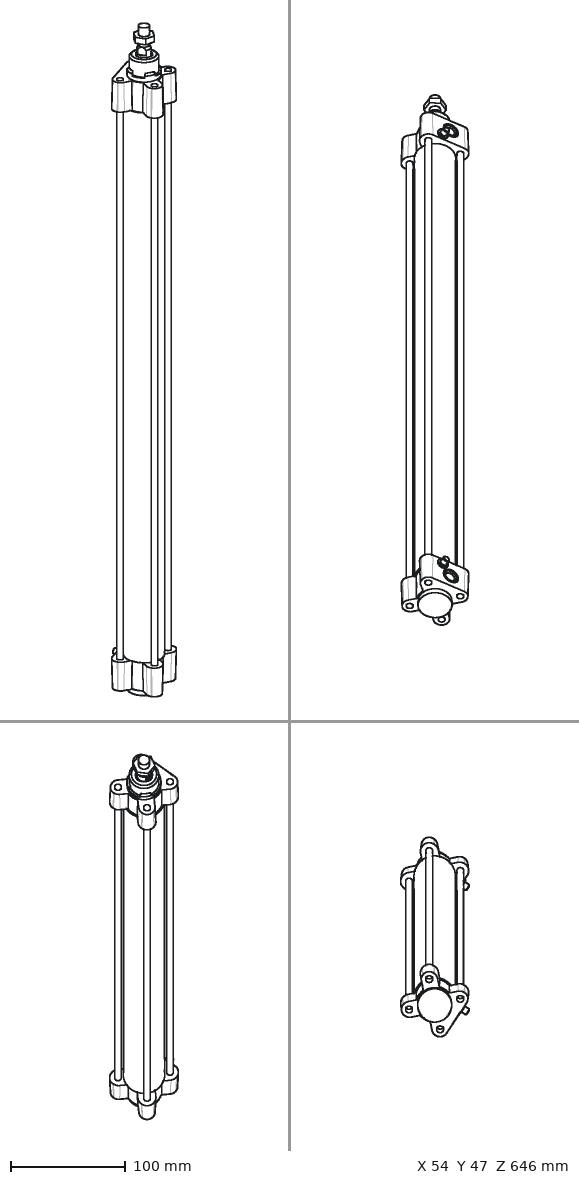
import cadquery as cq
import math

total_height = 646.0
total_width_x = 54.0

cap_height = 28.5
cap_draft = 1.5
lobe_offset = 16.0
lobe_diameter = 15.0
lobe_flat = 0.5
cap_barrel_radius = 17.0
front_cap_inner_z = 570.0
spigot_diameter = 30.0
rear_spigot_height = 5.0

mount_hole_diameter = 6.0
mount_hole_depth = 16.0

port_diameter = 9.0
port_depth = 10.0
port_spotface_diameter = 15.0
port_spotface_depth = 0.5
port_chamfer = 1.0
port_y = -2.5
port_height = 16.0

screw_y = 6.15
screw_height = 6.0
screw_boss_diameter = 10.0
screw_boss_end = 25.0
screw_diameter = 6.0
screw_chamfer = 0.5

tube_diameter = 36.0
tie_rod_diameter = 6.0

guide_ring_height = 8.0
guide_ring_chamfer = 2.0
guide_notch_width = 11.5
guide_notch_height = 4.0
guide_diameter = 26.0
guide_top_z = 618.0
guide_chamfer = 2.0
wiper_recess_diameter = 15.0
wiper_recess_depth = 2.0

rod_diameter = 12.0
rod_cone_height = 2.5
thread_diameter = 10.0
thread_length = 19.0
wrench_flats = 10.0
wrench_flats_length = 5.0

nut_across_flats = 17.0
nut_thickness = 6.0
nut_bottom_z = 632.0

lobe_radius = lobe_diameter / 2
cap_side = lobe_offset + lobe_radius
screw_end = total_width_x - cap_side
rear_cap_inner_z = rear_spigot_height + cap_height
front_cap_outer_z = front_cap_inner_z + cap_height
lobe_centres = [(x * lobe_offset, y * lobe_offset) for x in (-1, 1) for y in (-1, 1)]


def cylinder(diameter, bottom_z, top_z):
    """A cylinder on the Z axis."""
    return cq.Workplane("XY").workplane(offset=bottom_z).circle(diameter / 2).extrude(top_z - bottom_z)


def side_cylinder(diameter, y, z, outer_reach, inner_reach):
    """A cylinder along X on the -X side, between two distances from the Z axis."""
    plane = cq.Workplane("YZ", origin=(-outer_reach, y, z))
    return plane.circle(diameter / 2).extrude(outer_reach - inner_reach)


def polar(centre, radius, angle):
    """The point at an angle in degrees on a circle."""
    turn = math.radians(angle)
    return (centre[0] + radius * math.cos(turn), centre[1] + radius * math.sin(turn))


def draw_arcs(sketch, centre, radius, angles):
    """Draw a line to the first angle on a circle, then arcs through the others."""
    sketch = sketch.lineTo(*polar(centre, radius, angles[0]))
    for start, end in zip(angles, angles[1:]):
        middle = polar(centre, radius, (start + end) / 2)
        sketch = sketch.threePointArc(middle, polar(centre, radius, end))
    return sketch


def draw_valley(sketch, facing):
    """Draw one valley, opening at an angle: lobe curve, wall, bare barrel, wall, lobe curve."""
    wall_distance = lobe_radius + lobe_flat / math.sqrt(2)
    bare = 45 - math.degrees(math.asin(wall_distance / cap_barrel_radius))
    curve_distance = math.hypot(lobe_offset, lobe_offset - lobe_flat)
    curve_angle = math.degrees(math.atan2(lobe_offset - lobe_flat, lobe_offset))
    first_centre = polar((0, 0), curve_distance, facing - curve_angle)
    last_centre = polar((0, 0), curve_distance, facing + curve_angle)
    sketch = draw_arcs(sketch, first_centre, lobe_radius, (facing, facing + 45))
    sketch = draw_arcs(sketch, (0, 0), cap_barrel_radius, (facing - bare, facing + bare))
    return draw_arcs(sketch, last_centre, lobe_radius, (facing - 45, facing))


def cap_blank():
    """Drafted block with a flat -X side and a valley between the lobes on the other three."""
    lower_left, upper_left, lower_right, upper_right = lobe_centres
    sketch = cq.Workplane("XY").moveTo(-cap_side, lobe_offset)
    sketch = draw_arcs(sketch, lower_left, lobe_radius, (180, 270))
    sketch = draw_valley(sketch, 270)
    sketch = draw_arcs(sketch, lower_right, lobe_radius, (270, 360))
    sketch = draw_valley(sketch, 0)
    sketch = draw_arcs(sketch, upper_right, lobe_radius, (0, 90))
    sketch = draw_valley(sketch, 90)
    sketch = draw_arcs(sketch, upper_left, lobe_radius, (90, 180))
    return sketch.close().extrude(cap_height, taper=cap_draft)


def mount_holes():
    """Blind holes down from the outer face of a cap, one in each lobe."""
    outer_face = cq.Workplane("XY").workplane(offset=cap_height).pushPoints(lobe_centres)
    return outer_face.circle(mount_hole_diameter / 2).extrude(-mount_hole_depth)


def port():
    """Blind air port with a chamfered mouth in a shallow spotface."""
    mouth_reach = cap_side - port_spotface_depth
    mouth_radius = port_diameter / 2 + port_chamfer
    spotface = side_cylinder(port_spotface_diameter, port_y, port_height, cap_side, mouth_reach)
    bore = side_cylinder(port_diameter, port_y, port_height, mouth_reach, cap_side - port_depth)
    mouth = cq.Workplane("YZ", origin=(-mouth_reach, port_y, port_height)).circle(mouth_radius)
    return spotface.union(bore).union(mouth.extrude(port_chamfer, taper=45))


def cushion_screw():
    """Round boss and screw with a chamfered end standing out of the -X side."""
    boss = side_cylinder(screw_boss_diameter, screw_y, screw_height, screw_boss_end, lobe_offset)
    screw = side_cylinder(screw_diameter, screw_y, screw_height, screw_end, lobe_offset)
    screw = screw.faces("<X").chamfer(screw_chamfer)
    return boss.union(screw)


def end_cap():
    """A cap with its inner face on the XY plane and its outer face above."""
    return cap_blank().cut(mount_holes()).union(cushion_screw()).cut(port())


def barrel():
    """Tube and four tie rods between the caps."""
    inner_faces = cq.Workplane("XY").workplane(offset=rear_cap_inner_z)
    length = front_cap_inner_z - rear_cap_inner_z
    tube = inner_faces.circle(tube_diameter / 2).extrude(length)
    tie_rods = inner_faces.pushPoints(lobe_centres).circle(tie_rod_diameter / 2).extrude(length)
    return tube.union(tie_rods)


def rod_guide():
    """Notched ring and chamfered guide around the rod, on the front cap."""
    ring_top_z = front_cap_outer_z + guide_ring_height
    ring = cylinder(spigot_diameter, front_cap_outer_z, ring_top_z)
    ring = ring.faces(">Z").chamfer(guide_ring_chamfer)
    for angle in (0, 90):
        notch = cq.Workplane("XY").box(spigot_diameter, guide_notch_width, guide_notch_height)
        notch = notch.translate((0, 0, ring_top_z - guide_notch_height / 2))
        ring = ring.cut(notch.rotate((0, 0, 0), (0, 0, 1), angle))
    guide = cylinder(guide_diameter, front_cap_outer_z, guide_top_z)
    guide = guide.faces(">Z").chamfer(guide_chamfer)
    recess = cylinder(wiper_recess_diameter, guide_top_z - wiper_recess_depth, guide_top_z)
    return ring.union(guide).cut(recess)


def make_housing():
    """Barrel, both caps, rear spigot and rod guide, with a blind hole for the rod."""
    front_cap = end_cap().translate((0, 0, front_cap_inner_z))
    rear_cap = end_cap().mirror("XY").translate((0, 0, rear_cap_inner_z))
    spigot = cylinder(spigot_diameter, 0, rear_spigot_height)
    rod_hole = cylinder(rod_diameter, front_cap_inner_z, guide_top_z)
    solid = barrel().union(front_cap).union(rear_cap).union(spigot).union(rod_guide())
    return solid.cut(rod_hole)


def make_rod():
    """Rod with two wrench flats, a conical shoulder and a thread at full diameter."""
    thread_start_z = total_height - thread_length
    cone_start_z = thread_start_z - rod_cone_height
    rod = (
        cq.Workplane("XZ")
        .moveTo(0, front_cap_inner_z)
        .lineTo(rod_diameter / 2, front_cap_inner_z)
        .lineTo(rod_diameter / 2, cone_start_z)
        .lineTo(thread_diameter / 2, thread_start_z)
        .lineTo(thread_diameter / 2, total_height)
        .lineTo(0, total_height)
        .close()
        .revolve(360, (0, 0, 0), (0, 1, 0))
    )
    flats_height = wrench_flats_length + rod_cone_height
    for side in (-1, 1):
        cutter = cq.Workplane("XY").box(rod_diameter, rod_diameter, flats_height)
        offset = side * (wrench_flats + rod_diameter) / 2
        rod = rod.cut(cutter.translate((0, offset, thread_start_z - flats_height / 2)))
    return rod


def make_nut():
    """Hexagon nut with two flats facing along Y."""
    across_corners = nut_across_flats / math.cos(math.pi / 6)
    nut = cq.Workplane("XY").workplane(offset=nut_bottom_z).polygon(6, across_corners)
    return nut.circle(thread_diameter / 2).extrude(nut_thickness)


housing = make_housing()
rod = make_rod()
nut = make_nut()
result = cq.Compound.makeCompound([housing.solids().val(), rod.solids().val(), nut.val()])